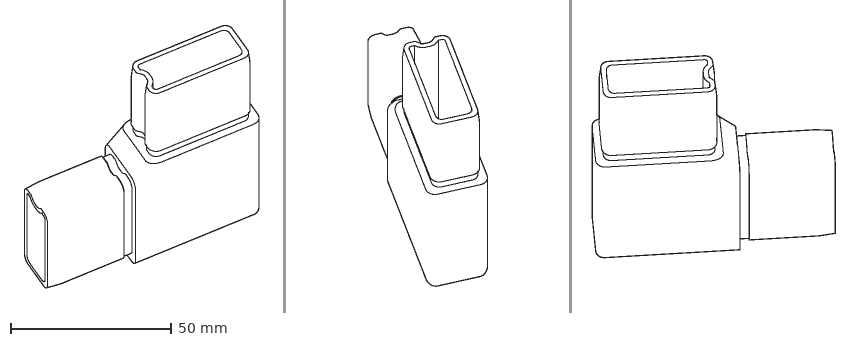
import cadquery as cq
import math

WIDTH = 20.0
BODY_SIDE = 45.0
INNER_CHAMFER = 5.0
BODY_ROUND = 3.0
CORNER_ROUND = 2.0

TOTAL_LENGTH = 75.0
NECK_LENGTH = 3.0
TIP_LENGTH = 5.0
PLUG_HALF_WIDTH = 7.5
PLUG_START = 2.55
PLUG_END = 37.6
PLUG_ROUND = 2.55
PLUG_SWELL = 0.5

GROOVE_DEPTH = 1.65
GROOVE_FLOOR_HALF = 0.7
GROOVE_FLOOR_ROUND = 2.0
GROOVE_LIP_ROUND = 0.8

WALL = 1.65
PASSAGE_ROUND = 2.0

SIN_45 = math.sin(math.pi / 4)
SIN_22_5 = math.sin(math.pi / 8)
COS_22_5 = math.cos(math.pi / 8)

LEG_PLANES = (
    cq.Plane(origin=(0, 0, 0), xDir=(-1, 0, 0), normal=(0, 0, 1)),
    cq.Plane(origin=(0, 0, 0), xDir=(1, 0, 0), normal=(0, -1, 0)),
)


def make_body():
    block = (
        cq.Workplane("YZ")
        .rect(-BODY_SIDE, BODY_SIDE, centered=False)
        .extrude(WIDTH / 2, both=True)
        .edges("<Y and >Z")
        .chamfer(INNER_CHAMFER)
        .edges(">Y and <Z")
        .fillet(CORNER_ROUND)
    )
    end_edges = block.faces("<Y or >Z").edges().vals()
    side_edges = block.faces("<X or >X").edges().vals()
    rounded_edges = [
        edge for edge in side_edges
        if not any(edge.isSame(end) for end in end_edges)
    ]
    return block.newObject(rounded_edges).fillet(BODY_ROUND)


def plug_outline(plane, along, swell=0.0):
    """Grooved rounded rectangle, grown outward by swell, placed along the leg."""
    half = PLUG_HALF_WIDTH + swell
    near = PLUG_START - swell
    far = PLUG_END + swell
    corner = PLUG_ROUND + swell
    lip = GROOVE_LIP_ROUND + swell
    hollow = GROOVE_FLOOR_ROUND - swell
    corner_shift = corner * (1 - SIN_45)
    floor = far - GROOVE_DEPTH

    arc_drop = 1 - SIN_45
    flank_low_x = GROOVE_FLOOR_HALF + hollow * SIN_45
    flank_low_y = floor + hollow * arc_drop
    flank_high_y = far - lip * arc_drop
    flank_high_x = flank_low_x + flank_high_y - flank_low_y
    lip_x = flank_high_x + lip * SIN_45

    floor_mid = (GROOVE_FLOOR_HALF + hollow * SIN_22_5, floor + hollow * (1 - COS_22_5))
    lip_mid = (lip_x - lip * SIN_22_5, far - lip * (1 - COS_22_5))

    def left(point):
        return (-point[0], point[1])

    flank_low = (flank_low_x, flank_low_y)
    flank_high = (flank_high_x, flank_high_y)
    return (
        cq.Workplane(plane)
        .workplane(offset=along)
        .moveTo(-half + corner, near)
        .lineTo(half - corner, near)
        .threePointArc((half - corner_shift, near + corner_shift), (half, near + corner))
        .lineTo(half, far - corner)
        .threePointArc((half - corner_shift, far - corner_shift), (half - corner, far))
        .lineTo(lip_x, far)
        .threePointArc(lip_mid, flank_high)
        .lineTo(*flank_low)
        .threePointArc(floor_mid, (GROOVE_FLOOR_HALF, floor))
        .lineTo(-GROOVE_FLOOR_HALF, floor)
        .threePointArc(left(floor_mid), left(flank_low))
        .lineTo(*left(flank_high))
        .threePointArc(left(lip_mid), (-lip_x, far))
        .lineTo(-half + corner, far)
        .threePointArc((-half + corner_shift, far - corner_shift), (-half, far - corner))
        .lineTo(-half, near + corner)
        .threePointArc((-half + corner_shift, near + corner_shift), (-half + corner, near))
        .close()
    )


def make_plug(plane):
    tip_start = TOTAL_LENGTH - TIP_LENGTH
    middle_start = BODY_SIDE + NECK_LENGTH
    neck = plug_outline(plane, BODY_SIDE).extrude(NECK_LENGTH)
    middle = plug_outline(plane, middle_start, PLUG_SWELL).extrude(tip_start - middle_start)
    tip_wires = [
        plug_outline(plane, tip_start, PLUG_SWELL).val(),
        plug_outline(plane, TOTAL_LENGTH).val(),
    ]
    tip = cq.Workplane(cq.Solid.makeLoft(tip_wires, True))
    return neck.union(middle).union(tip)


def make_passage():
    legs = [
        plug_outline(plane, 0).offset2D(-WALL, "intersection").extrude(TOTAL_LENGTH)
        for plane in LEG_PLANES
    ]
    inset = PLUG_START + WALL
    envelope = (
        cq.Workplane("YZ", origin=(0, -inset, inset))
        .rect(-TOTAL_LENGTH, TOTAL_LENGTH, centered=False)
        .extrude(PLUG_HALF_WIDTH - WALL, both=True)
        .edges(">Y or <Z")
        .edges("not(<Y or >Z)")
        .fillet(PASSAGE_ROUND)
    )
    return legs[0].union(legs[1]).intersect(envelope)


result = make_body()
for leg_plane in LEG_PLANES:
    result = result.union(make_plug(leg_plane))
result = result.cut(make_passage())